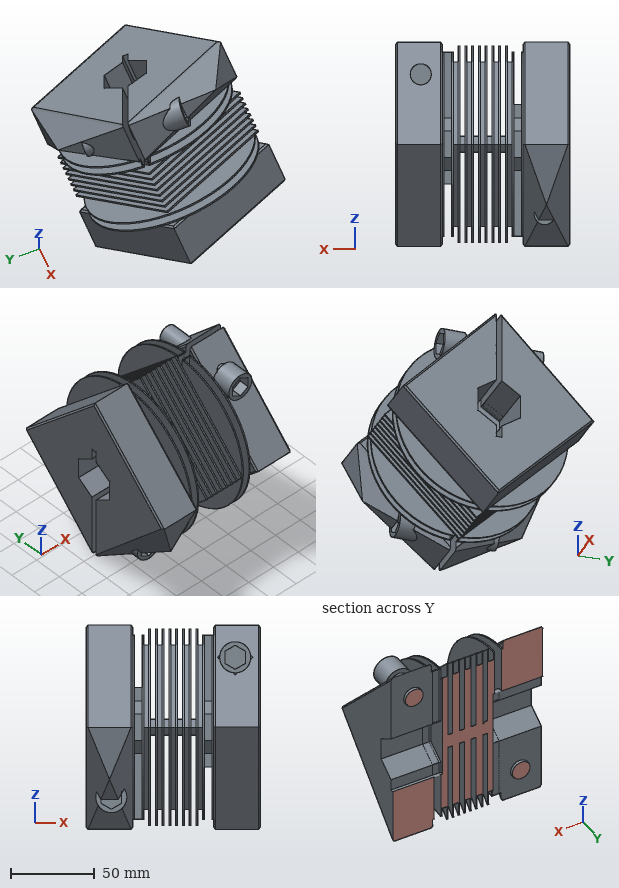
import cadquery as cq
import math

length = 104.0
hub_radius = 61.0
hub_width = 27.9
hub_chamfer = 1.1
hub_inner_face = length / 2 - hub_width

bore_radius = 15.5
bore_flat = 13.5
slot_width = 3.5
slot_relief = 23.0

collar_diameter = 110.0
collar_inner_face = 17.6
flange_thickness = 1.0
neck_wall = 0.7

plate_count = 8
plate_pitch = 4.0
plate_thickness = 1.1
plate_radius = 58.7
valley_radius = 49.2
core_radius = 4.9

screw_x = 37.0
screw_z = 41.7
head_diameter = 18.5
head_face = 32.2
head_seat = 18.2
counterbore_diameter = 21.0
shank_diameter = 12.6
shank_end = 32.1
socket_flats = 12.5
socket_depth = 7.0

pyramid_apexes = [(-52.6, -31.1), (49.2, -36.1)]


def prism(points, x_start, x_end):
    """Straight prism along X over an outline of (y, z) points."""
    outline = cq.Workplane("YZ", origin=(x_start, 0, 0)).polyline(points).close()
    return outline.extrude(x_end - x_start)


def diamond(radius):
    return [(radius, 0), (0, radius), (-radius, 0), (0, -radius)]


def cross_bar(diameter, y_start, y_end):
    """Round bar along Y on the axis of the left-hand screw."""
    face = cq.Workplane("XZ", origin=(-screw_x, y_start, -screw_z)).circle(diameter / 2)
    return face.extrude(y_start - y_end)


def on_circle(radius, y):
    """Height above the axis of the point at y on a circle."""
    return math.sqrt(radius**2 - y**2)


slot_half = slot_width / 2
slot_tip = on_circle(hub_radius, slot_half)
slot_mouth = on_circle(bore_radius, slot_half)
bore_corner = on_circle(bore_radius, bore_flat)


def hub_block():
    """Diamond block with a blunt lower tip where the slot opens."""
    outline = [
        (hub_radius, 0),
        (0, hub_radius),
        (-hub_radius, 0),
        (-slot_half, -slot_tip),
        (slot_half, -slot_tip),
    ]
    block = prism(outline, -length / 2, -hub_inner_face)
    return block.faces("<X or >X").chamfer(hub_chamfer)


def pyramid(apex_y, apex_z):
    """Four-sided pyramid standing on one lower face of the left hub."""
    side = math.copysign(1, apex_y)
    x_outer = -length / 2 + hub_chamfer
    x_inner = -hub_inner_face - hub_chamfer
    corners = [
        cq.Vector(x_outer, side * hub_radius, 0),
        cq.Vector(x_inner, side * hub_radius, 0),
        cq.Vector(x_inner, side * slot_half, -slot_tip),
        cq.Vector(x_outer, side * slot_half, -slot_tip),
    ]
    apex = cq.Vector((x_outer + x_inner) / 2, apex_y, apex_z)
    faces = [cq.Face.makeFromWires(cq.Wire.makePolygon(corners, close=True))]
    for start, end in zip(corners, corners[1:] + corners[:1]):
        faces.append(cq.Face.makeFromWires(cq.Wire.makePolygon([start, end, apex], close=True)))
    return cq.Workplane(cq.Solid.makeSolid(cq.Shell.makeShell(faces)))


def counterbore():
    """Four-cornered recess around the screw head."""
    face = cq.Workplane("XZ", origin=(-screw_x, -head_seat, -screw_z))
    return face.polygon(4, counterbore_diameter).extrude(hub_radius - head_seat)


def socket():
    """Hexagonal key socket with corners pointing up and down."""
    corner_diameter = socket_flats / math.cos(math.pi / 6)
    face = cq.Workplane("XZ", origin=(-screw_x, socket_depth - head_face, -screw_z))
    face = face.transformed(rotate=(0, 0, 30))
    return face.polygon(6, corner_diameter).extrude(socket_depth)


def bore_prism(x_start, x_end, slot_bottom, wall=0):
    """Six-sided bore with a slot down to slot_bottom, grown outward by wall."""
    corners = [
        (bore_flat, bore_corner),
        (slot_half, slot_mouth),
        (-slot_half, slot_mouth),
        (-bore_flat, bore_corner),
    ]
    outline = corners + [(-y, -z) for y, z in corners]
    hole = cq.Workplane("YZ", origin=(x_start, 0, 0)).polyline(outline).close()
    if wall:
        hole = hole.offset2D(wall, "intersection")
    hole = hole.extrude(x_end - x_start)
    top = slot_relief + wall
    slot = cq.Workplane("XY").box(
        x_end - x_start, slot_width + 2 * wall, top - slot_bottom, centered=(False, True, False)
    )
    return hole.union(slot.translate((x_start, 0, slot_bottom)))


def collar():
    """Two thin round flanges joined by a neck that follows the bore and the slot."""
    rim_half_width = slot_half + neck_wall
    neck_bottom = -on_circle(collar_diameter / 2, rim_half_width)
    body = bore_prism(-hub_inner_face, -collar_inner_face, neck_bottom, neck_wall)
    for x in (-hub_inner_face, -collar_inner_face - flange_thickness):
        flange = cq.Workplane("YZ", origin=(x, 0, 0)).circle(collar_diameter / 2)
        body = body.union(flange.extrude(flange_thickness))
    return body


def screw():
    head = cross_bar(head_diameter, -head_face, -head_seat)
    return head.union(cross_bar(shank_diameter, -head_seat, shank_end))


def clamp_hub(apexes):
    """Left-hand hub, clamped by a screw below the bore."""
    bore = bore_prism(-length / 2, -collar_inner_face, -hub_radius)
    body = hub_block().union(collar()).cut(bore).cut(counterbore())
    for apex in apexes:
        body = body.union(pyramid(*apex))
    return body.union(screw()).cut(socket())


def bellows():
    core = prism(diamond(core_radius), -collar_inner_face, collar_inner_face)
    first = -plate_pitch * (plate_count - 1) / 2
    centers = [first + i * plate_pitch for i in range(plate_count)]
    for x in centers:
        core = core.union(prism(diamond(plate_radius), x - plate_thickness / 2, x + plate_thickness / 2))
    edges = [-collar_inner_face] + centers + [collar_inner_face]
    for start, end in zip(edges[::2], edges[1::2]):
        core = core.union(prism(diamond(valley_radius), start, end))
    return core


left_hub = clamp_hub(pyramid_apexes)
right_hub = clamp_hub([]).mirror("YZ").mirror("XY")

result = bellows().union(left_hub).union(right_hub)